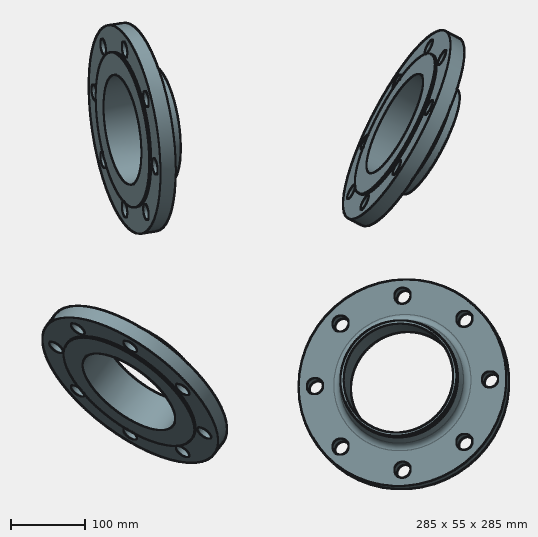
import cadquery as cq
import math


FLANGE_DIAMETER = 285.0
FLANGE_THICKNESS = 22.0
OVERALL_LENGTH = 55.0

FACE_DIAMETER = 212.0
FACE_HEIGHT = 3.0

BORE_DIAMETER = 150.0
NECK_DIAMETER = 159.0
NECK_LENGTH = 12.0
HUB_DIAMETER = 175.0
HUB_FILLET_RADIUS = 10.0

BOLT_CIRCLE_DIAMETER = 240.0
BOLT_HOLE_DIAMETER = 22.0
BOLT_HOLE_COUNT = 8

flange_front = FACE_HEIGHT
flange_back = flange_front + FLANGE_THICKNESS
neck_end = OVERALL_LENGTH
neck_start = neck_end - NECK_LENGTH


def cylinder(diameter, start, end, x=0.0, z=0.0):
    """Cylinder parallel to Y, between two stations."""
    return cq.Workplane(
        cq.Solid.makeCylinder(diameter / 2, end - start, cq.Vector(x, start, z), cq.Vector(0, 1, 0))
    )


def revolved_body():
    """Solid of revolution: raised face, plate, filleted hub cone and neck."""
    bore = BORE_DIAMETER / 2
    neck = NECK_DIAMETER / 2
    hub = HUB_DIAMETER / 2
    taper = math.atan2(hub - neck, neck_start - flange_back)

    tangent_length = HUB_FILLET_RADIUS * math.tan((math.pi / 2 - taper) / 2)
    fillet_on_cone = (
        hub - tangent_length * math.sin(taper),
        flange_back + tangent_length * math.cos(taper),
    )
    fillet_on_plate = (hub + tangent_length, flange_back)

    profile = (
        cq.Workplane("XY")
        .moveTo(bore, 0)
        .lineTo(FACE_DIAMETER / 2, 0)
        .lineTo(FACE_DIAMETER / 2, flange_front)
        .lineTo(FLANGE_DIAMETER / 2, flange_front)
        .lineTo(FLANGE_DIAMETER / 2, flange_back)
        .lineTo(*fillet_on_plate)
        .tangentArcPoint(fillet_on_cone, relative=False)
        .lineTo(neck, neck_start)
        .lineTo(neck, neck_end)
        .lineTo(bore, neck_end)
        .close()
    )
    return profile.revolve(360, (0, 0), (0, 1))


def drill_bolt_holes(body):
    """Through holes evenly spaced on the bolt circle, the first on +X."""
    radius = BOLT_CIRCLE_DIAMETER / 2
    for index in range(BOLT_HOLE_COUNT):
        angle = 2 * math.pi * index / BOLT_HOLE_COUNT
        x = radius * math.cos(angle)
        z = radius * math.sin(angle)
        body = body.cut(cylinder(BOLT_HOLE_DIAMETER, flange_front, flange_back, x, z))
    return body


result = drill_bolt_holes(revolved_body())